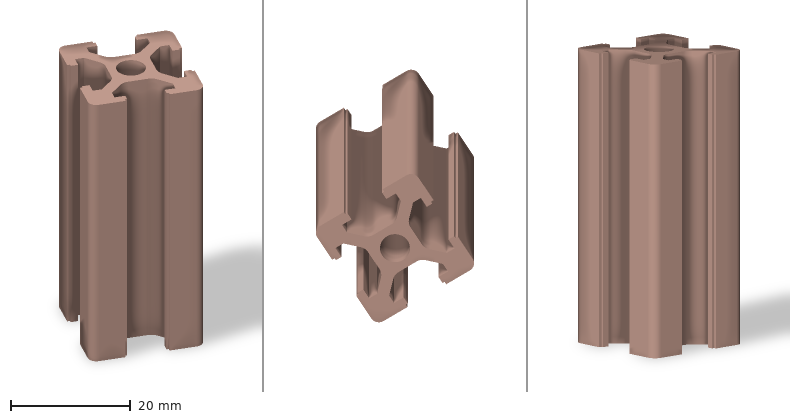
import cadquery as cq

width = 20.0
length = 50.0
corner_radius = 1.5
bore_diameter = 5.0

mouth_width = 6.85
lip_step_width = 0.4
lip_step_depth = 0.5
slot_width = 10.6
floor_width = 5.2
floor_fillet = 2.0

core_width_x = 8.35
core_width_y = 7.85

lip_thickness_x = 1.6
lip_thickness_y = 1.8

half_width = width / 2
half_mouth = mouth_width / 2
half_slot = slot_width / 2
half_floor = floor_width / 2
half_entry = half_mouth + lip_step_width
step_level = half_width - lip_step_depth


def body():
    """Square bar with rounded outer edges."""
    bar = cq.Workplane("XY").rect(width, width).extrude(length)
    return bar.edges("|Z").fillet(corner_radius)


def slot_cutter(core_width, lip_thickness):
    """Full-length T-slot opening toward +Y, cut down to the core and under the lips."""
    floor_level = core_width / 2
    lip_level = half_width - lip_thickness
    wall_end_level = floor_level + half_slot - half_floor
    right_side = [
        (half_floor, floor_level),
        (half_slot, wall_end_level),
        (half_slot, lip_level),
        (half_mouth, lip_level),
        (half_mouth, step_level),
        (half_entry, step_level),
        (half_entry, half_width),
    ]
    left_side = [(-x, y) for x, y in reversed(right_side)]
    cutter = cq.Workplane("XY").polyline(right_side + left_side).close().extrude(length)
    return cutter.faces("<Y").edges("|Z").fillet(floor_fillet)


result = body()

slot_y = slot_cutter(core_width_y, lip_thickness_y)
slot_x = slot_cutter(core_width_x, lip_thickness_x)
for first_angle, slot in [(0, slot_y), (90, slot_x)]:
    for angle in (first_angle, first_angle + 180):
        result = result.cut(slot.rotate((0, 0, 0), (0, 0, 1), angle))

result = result.faces(">Z").workplane(origin=(0, 0, length)).hole(bore_diameter)